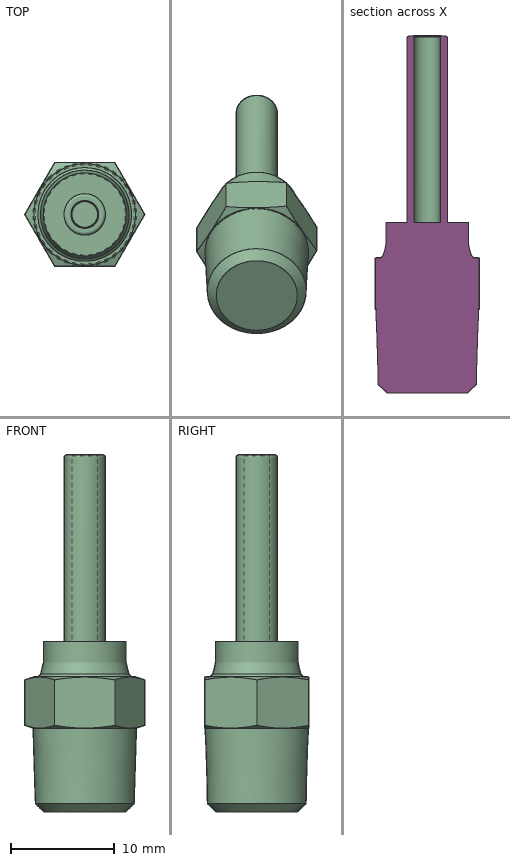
import cadquery as cq
import math

total_height = 34.4
lead_in_height = 0.83
hex_bottom = 8.05
hex_top = 13.05
flare_bottom = 13.28
collar_bottom = 14.38
collar_top = 16.45

thread_top_radius = 5.0
thread_taper = 1 / 16
thread_bottom_radius = thread_top_radius - (hex_bottom - lead_in_height) * thread_taper / 2
lead_in_width = 0.85

hex_across_flats = 10.0
hex_corner_radius = hex_across_flats / math.sqrt(3)
hex_face_radius = 4.9
hex_corner_drop = 0.3

collar_radius = 4.0
flare_radius = 4.25
foot_radius = 4.5

tube_radius = 2.0
tube_rim_fillet = 0.28
bore_radius = 1.25
bore_depth = total_height - collar_top
bore_rim_chamfer = 0.1


def revolve_profile(*points):
    """Solid of revolution about Z from (radius, height) points, closed on the axis."""
    bottom, top = points[0][1], points[-1][1]
    outline = [(0, bottom), *points, (0, top)]
    return cq.Workplane("XZ").polyline(outline).close().revolve(360, (0, 0), (0, 1))


def make_hexagon():
    """Hexagon with its corners turned off by a shallow cone at both ends."""
    prism = (
        cq.Workplane("XY")
        .workplane(offset=hex_bottom)
        .polygon(6, 2 * hex_corner_radius)
        .extrude(hex_top - hex_bottom)
    )
    corner_cone = revolve_profile(
        (hex_face_radius, hex_bottom),
        (hex_corner_radius, hex_bottom + hex_corner_drop),
        (hex_corner_radius, hex_top - hex_corner_drop),
        (hex_face_radius, hex_top),
    )
    return prism.intersect(corner_cone)


def make_thread_body():
    return revolve_profile(
        (thread_bottom_radius - lead_in_width, 0),
        (thread_bottom_radius, lead_in_height),
        (thread_top_radius, hex_bottom),
    )


def make_collar():
    return revolve_profile(
        (foot_radius, hex_top),
        (flare_radius, flare_bottom),
        (collar_radius, collar_bottom),
        (collar_radius, collar_top),
    )


def make_tube():
    return (
        cq.Workplane("XY")
        .workplane(offset=collar_top)
        .circle(tube_radius)
        .extrude(total_height - collar_top)
        .faces(">Z")
        .edges()
        .fillet(tube_rim_fillet)
    )


def make_bore():
    """Blind bore with a chamfered mouth at the tube end."""
    return revolve_profile(
        (bore_radius, total_height - bore_depth),
        (bore_radius, total_height - bore_rim_chamfer),
        (bore_radius + bore_rim_chamfer, total_height),
    )


result = (
    make_thread_body()
    .union(make_hexagon())
    .union(make_collar())
    .union(make_tube())
    .cut(make_bore())
)